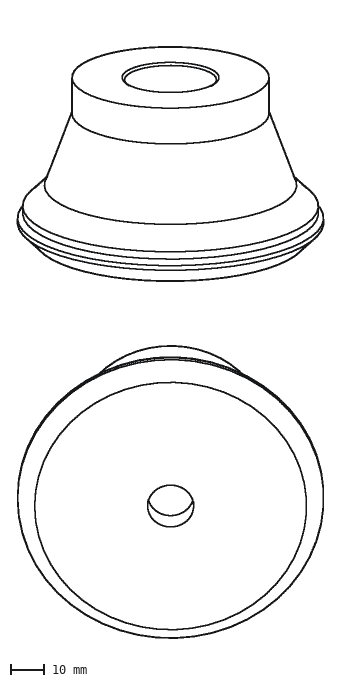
import cadquery as cq

height = 50.0
hole_radius = 6.8

base_radius = 45.1
base_height = 8.0
base_bottom_chamfer = 5.05
base_top_chamfer = 1.5

collar_radius = 29.0
collar_height = 11.1
cone_bottom_radius = 37.1
flange_radius = base_radius - base_top_chamfer
flange_edge_height = 2.25
flange_slope_height = flange_radius - cone_bottom_radius

bore_radius = 13.5
bore_depth = 17.1
bore_chamfer = 0.7


def revolve_about_z(outline):
    """Turn a closed (radius, z) outline into a solid of revolution."""
    return cq.Workplane("XZ").polyline(outline).close().revolve(360, (0, 0, 0), (0, 1, 0))


def make_base_disc():
    """Chamfered disc with the through hole."""
    return revolve_about_z([
        (hole_radius, 0),
        (base_radius - base_bottom_chamfer, 0),
        (base_radius, base_bottom_chamfer),
        (base_radius, base_height - base_top_chamfer),
        (flange_radius, base_height),
        (hole_radius, base_height),
    ])


def make_flared_body():
    """Stepped, flared body with a chamfered bore above the through hole."""
    flange_edge_top = base_height + flange_edge_height
    cone_bottom = flange_edge_top + flange_slope_height
    collar_bottom = height - collar_height
    bore_floor = height - bore_depth
    return revolve_about_z([
        (hole_radius, base_height),
        (flange_radius, base_height),
        (flange_radius, flange_edge_top),
        (cone_bottom_radius, cone_bottom),
        (collar_radius, collar_bottom),
        (collar_radius, height),
        (bore_radius + bore_chamfer, height),
        (bore_radius, height - bore_chamfer),
        (bore_radius, bore_floor),
        (hole_radius, bore_floor),
    ])


base_disc = make_base_disc()
flared_body = make_flared_body()

result = cq.Compound.makeCompound([base_disc.val(), flared_body.val()])